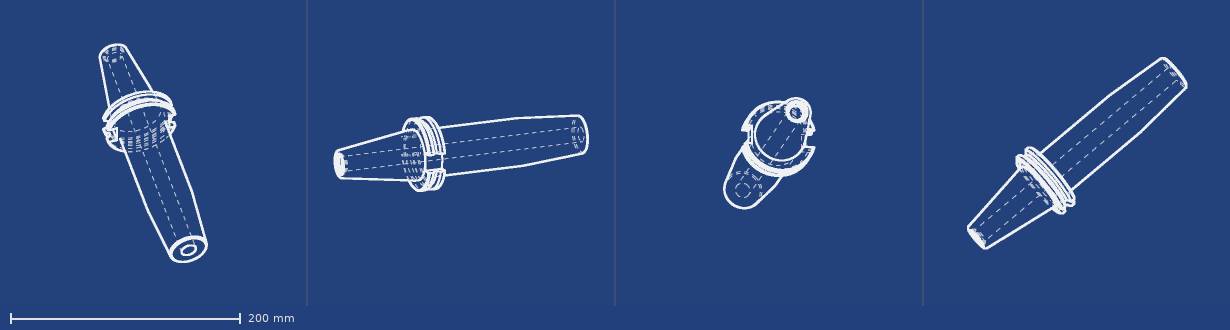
import cadquery as cq
import math

length = 228.2

gauge_x = 68.2
gauge_radius = 44.5 / 2
taper_slope = 7 / 24 / 2
small_end_radius = gauge_radius - gauge_x * taper_slope
shank_round = 1.5

flange_start = 71.5
flange_end = 87.2
flange_radius = 31.7
flange_chamfer = 1.0
groove_start = 75.8
groove_end = 82.6
groove_depth = 3.7
groove_flank_angle = 30
groove_run = groove_depth * math.tan(math.radians(groove_flank_angle))
groove_radius = flange_radius - groove_depth

body_radius = 42.0 / 2
root_fillet = 3.0
nose_start = 170.7
nose_radius = 33.5 / 2
nose_chamfer = 1.1

mouth_radius = 18.7 / 2
mouth_depth = 1.8
counterbore_radius = 16.2 / 2
counterbore_depth = 3.2
bore_radius = 13.0 / 2
cone_end = counterbore_depth + counterbore_radius - bore_radius

slot_width = 16.2
slot_floor_plus_y = 24.9
slot_floor_minus_y = 22.5


def make_body():
    """Revolve the outer profile around the X axis."""
    taper_angle = math.atan(taper_slope)
    tangent_length = shank_round * math.tan((math.pi / 2 - taper_angle) / 2)
    round_end = (
        tangent_length * math.cos(taper_angle),
        small_end_radius + tangent_length * math.sin(taper_angle),
    )
    profile = (
        cq.Workplane("XY")
        .moveTo(0, 0)
        .lineTo(0, small_end_radius - tangent_length)
        .tangentArcPoint(round_end, relative=False)
        .lineTo(gauge_x, gauge_radius)
        .lineTo(flange_start, gauge_radius)
        .lineTo(flange_start, flange_radius - flange_chamfer)
        .lineTo(flange_start + flange_chamfer, flange_radius)
        .lineTo(groove_start, flange_radius)
        .lineTo(groove_start + groove_run, groove_radius)
        .lineTo(groove_end - groove_run, groove_radius)
        .lineTo(groove_end, flange_radius)
        .lineTo(flange_end - flange_chamfer, flange_radius)
        .lineTo(flange_end, flange_radius - flange_chamfer)
        .lineTo(flange_end, body_radius + root_fillet)
        .tangentArcPoint((flange_end + root_fillet, body_radius), relative=False)
        .lineTo(nose_start, body_radius)
        .lineTo(length - nose_chamfer, nose_radius)
        .lineTo(length, nose_radius - nose_chamfer)
        .lineTo(length, 0)
        .close()
    )
    return profile.revolve(360, (0, 0, 0), (1, 0, 0))


def make_bore():
    """Revolve the stepped through bore around the X axis."""
    profile = cq.Workplane("XY").polyline([
        (0, 0),
        (0, mouth_radius),
        (mouth_depth, mouth_radius),
        (mouth_depth, counterbore_radius),
        (counterbore_depth, counterbore_radius),
        (cone_end, bore_radius),
        (length, bore_radius),
        (length, 0),
    ]).close()
    return profile.revolve(360, (0, 0, 0), (1, 0, 0))


def make_slot(side, floor):
    """Box for a driving slot; side is +1 for +Y and -1 for -Y."""
    slot_length = flange_end + root_fillet - flange_start
    slot_depth = flange_radius - floor
    return cq.Workplane("XY").box(slot_length, slot_depth, slot_width).translate(
        (flange_start + slot_length / 2, side * (floor + slot_depth / 2), 0)
    )


result = (
    make_body()
    .cut(make_bore())
    .cut(make_slot(1, slot_floor_plus_y))
    .cut(make_slot(-1, slot_floor_minus_y))
)